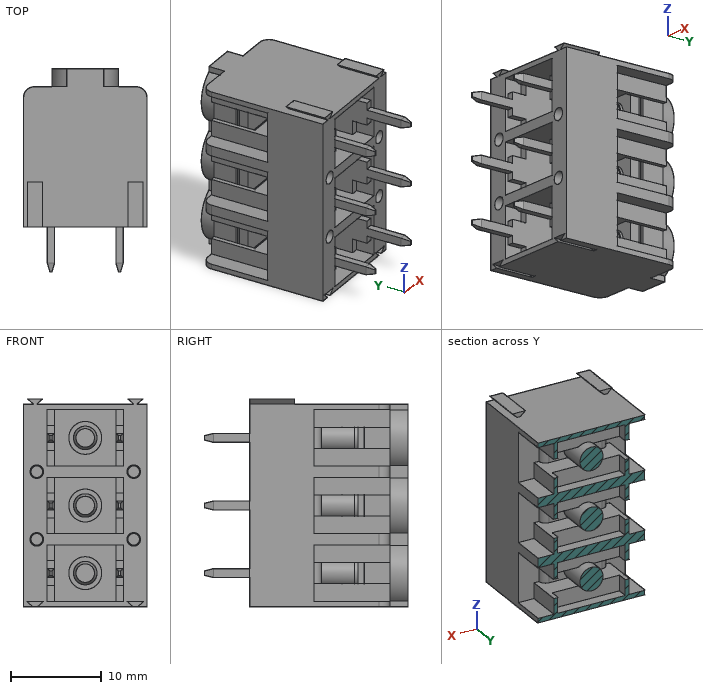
import cadquery as cq


POLES = 3
PITCH = 7.5
POLE_CENTRES = [PITCH * (pole + 0.5) for pole in range(POLES)]

WIDTH = 13.7
DEPTH = 15.58
HEIGHT = POLES * PITCH
CORNER_RADIUS = 1.2
END_WALL = 0.62
POLE_HEIGHT = PITCH - 2 * END_WALL

TURRET_DIAMETER = 7.39
TURRET_LENGTH = 2.0
TURRET_HEIGHT = 6.15
SPINE_WIDTH = 4.05

WINDOW_WIDTH = 8.45
LEDGE_DEPTH = 2.25
WINDOW_FLOOR = 6.58

ENTRY_WALL_X = 4.85
ENTRY_START = 7.15
SLOT_HEIGHT = 2.33
CAGE_HALF_WIDTH = 4.3
CAGE_START = 10.27
CAGE_END = 12.76

CONTACT_THICKNESS = 0.83
CONTACT_HEIGHT = 2.8
CONTACT_START = 0.4
CONTACT_HALF_WIDTH = WINDOW_WIDTH / 2
CONTACT_END = ENTRY_START + CONTACT_THICKNESS
PIN_LENGTH = 5.0
PIN_TAPER_LENGTH = 1.02
PIN_HEIGHT = 1.02
PIN_TIP_WIDTH = 0.23
PIN_TIP_HEIGHT = 0.5

FOOT_DIAMETER = 3.65
SCREW_DIAMETER = 3
COLLAR_DIAMETER = 3.3
FOOT_START = 6.35
TIP_DIAMETER = 2.6
TIP_END_DIAMETER = 2.05
TIP_LENGTH = 0.7
COLLAR_START = 11.65
WASHER_START = 12.02
WASHER_WIDTH = 5.82
WASHER_POCKET_WIDTH = 7.15
WASHER_POCKET_END = 14.08
LIP_WIDTH = 7.75
LIP_LENGTH = 0.07

HOLE_SPACING = 10.75
HOLE_DIAMETER = 1.5
HOLE_END_DIAMETER = 1.3
HOLE_DEPTH = 2.3

DOVETAIL_SPACING = 11.12
DOVETAIL_LENGTH = 5.0
TAB_HEIGHT = 0.58
TAB_WIDTH = 1.68
TAB_NECK = 0.42
GROOVE_HEIGHT = 0.62
GROOVE_WIDTH = 1.85
GROOVE_NECK = 0.48


def block(x_start, x_end, y_start, y_end, z_centre, height):
    """Box between two X and two Y limits, centred on a height."""
    return cq.Workplane("XY").box(x_end - x_start, y_end - y_start, height, centered=False).translate(
        (x_start, y_start, z_centre - height / 2)
    )


def centred_block(width, y_start, y_end, z_centre, height):
    """Box symmetric about the middle plane X = 0."""
    return block(-width / 2, width / 2, y_start, y_end, z_centre, height)


def cone(start_diameter, end_diameter, y_start, y_end, x, z):
    """Round body along Y whose diameter may change from start to end."""
    axis_start = cq.Vector(x, y_start, z)
    length = y_end - y_start
    if start_diameter == end_diameter:
        body = cq.Solid.makeCylinder(start_diameter / 2, length, axis_start, cq.Vector(0, 1, 0))
    else:
        body = cq.Solid.makeCone(start_diameter / 2, end_diameter / 2, length, axis_start, cq.Vector(0, 1, 0))
    return cq.Workplane(obj=body)


def rod(diameter, y_start, y_end, z):
    """Cylinder along Y on the middle plane X = 0."""
    return cone(diameter, diameter, y_start, y_end, 0, z)


def dovetail(x, z, neck, width, height):
    """Dovetail bar along Y, narrow at its foot and flaring upwards."""
    half_neck = neck / 2
    half_width = width / 2
    foot = [(x - half_neck, z), (x + half_neck, z)]
    crown = [(x + half_width, z + height), (x - half_width, z + height)]
    return cq.Workplane("XZ").polyline(foot + crown).close().extrude(-DOVETAIL_LENGTH)


def housing():
    """Block with rounded rear corners, a rear spine and one turret per pole."""
    body = centred_block(WIDTH, 0, DEPTH, HEIGHT / 2, HEIGHT).edges("|Z and >Y").fillet(CORNER_RADIUS)
    turret_end = DEPTH + TURRET_LENGTH
    body = body.union(centred_block(SPINE_WIDTH, DEPTH, turret_end, HEIGHT / 2, HEIGHT))
    for z in POLE_CENTRES:
        turret_band = centred_block(TURRET_DIAMETER, DEPTH, turret_end, z, TURRET_HEIGHT)
        body = body.union(rod(TURRET_DIAMETER, DEPTH, turret_end, z).intersect(turret_band))
    return body


def pole_cavities(z):
    """Room for the pins, wires and clamp of one pole, leaving a low lip on both sides of the washer."""
    inner_width = WINDOW_WIDTH - 2 * CONTACT_THICKNESS
    cavities = centred_block(WINDOW_WIDTH, 0, LEDGE_DEPTH, z, POLE_HEIGHT)
    cavities = cavities.union(centred_block(inner_width, 0, WINDOW_FLOOR, z, POLE_HEIGHT))
    for x_start, x_end in ((-WIDTH / 2, -ENTRY_WALL_X), (ENTRY_WALL_X, WIDTH / 2)):
        cavities = cavities.union(block(x_start, x_end, ENTRY_START, DEPTH, z, POLE_HEIGHT))
    for x_start, x_end in ((-ENTRY_WALL_X, -CAGE_HALF_WIDTH), (CAGE_HALF_WIDTH, ENTRY_WALL_X)):
        cavities = cavities.union(block(x_start, x_end, ENTRY_START, DEPTH, z, SLOT_HEIGHT))
    cage_width = 2 * CAGE_HALF_WIDTH
    cavities = cavities.union(centred_block(cage_width, ENTRY_START, CAGE_END, z, SLOT_HEIGHT))
    cavities = cavities.union(centred_block(cage_width, CAGE_START, CAGE_END, z, POLE_HEIGHT))
    cavities = cavities.cut(centred_block(LIP_WIDTH, CAGE_END - LIP_LENGTH, CAGE_END, z, POLE_HEIGHT))
    washer_pocket = centred_block(WASHER_POCKET_WIDTH, CAGE_START, WASHER_POCKET_END, z, POLE_HEIGHT)
    return cavities.union(washer_pocket)


def solder_pin(x, z):
    """Rectangular pin pointing to -Y with a tapered tip."""
    taper_start = PIN_TAPER_LENGTH - PIN_LENGTH
    half_width = CONTACT_THICKNESS / 2
    shank = block(x - half_width, x + half_width, taper_start, CONTACT_START, z, PIN_HEIGHT)
    tip = (
        cq.Workplane("XZ", origin=(x, taper_start, z))
        .rect(CONTACT_THICKNESS, PIN_HEIGHT)
        .workplane(offset=PIN_TAPER_LENGTH)
        .rect(PIN_TIP_WIDTH, PIN_TIP_HEIGHT)
        .loft()
    )
    return shank.union(tip)


def contact(z):
    """U-shaped contact with rounded bends and its two solder pins."""
    inner_width = 2 * (CONTACT_HALF_WIDTH - CONTACT_THICKNESS)
    strip = centred_block(2 * CONTACT_HALF_WIDTH, CONTACT_START, CONTACT_END, z, CONTACT_HEIGHT)
    strip = strip.edges("|Z and >Y").fillet(CONTACT_THICKNESS)
    strip = strip.cut(centred_block(inner_width, CONTACT_START, ENTRY_START, z, CONTACT_HEIGHT))
    pin_x = CONTACT_HALF_WIDTH - CONTACT_THICKNESS / 2
    for x in (-pin_x, pin_x):
        strip = strip.union(solder_pin(x, z))
    return strip


def clamping_screw(z):
    """Screw with a conical tip, a wide foot in the window floor, a collar and a square washer."""
    screw = cone(TIP_END_DIAMETER, TIP_DIAMETER, FOOT_START - TIP_LENGTH, FOOT_START, 0, z)
    screw = screw.union(rod(FOOT_DIAMETER, FOOT_START, ENTRY_START, z))
    screw = screw.union(rod(SCREW_DIAMETER, ENTRY_START, COLLAR_START, z))
    screw = screw.union(rod(COLLAR_DIAMETER, COLLAR_START, WASHER_START, z))
    return screw.union(centred_block(WASHER_WIDTH, WASHER_START, WASHER_POCKET_END, z, WASHER_WIDTH))


result = housing()

for z in POLE_CENTRES:
    result = result.cut(pole_cavities(z)).union(contact(z)).union(clamping_screw(z))

for wall in range(1, POLES):
    for x in (-HOLE_SPACING / 2, HOLE_SPACING / 2):
        result = result.cut(cone(HOLE_DIAMETER, HOLE_END_DIAMETER, 0, HOLE_DEPTH, x, wall * PITCH))

for x in (-DOVETAIL_SPACING / 2, DOVETAIL_SPACING / 2):
    result = result.cut(dovetail(x, 0, GROOVE_NECK, GROOVE_WIDTH, GROOVE_HEIGHT))
    result = result.union(dovetail(x, HEIGHT, TAB_NECK, TAB_WIDTH, TAB_HEIGHT))